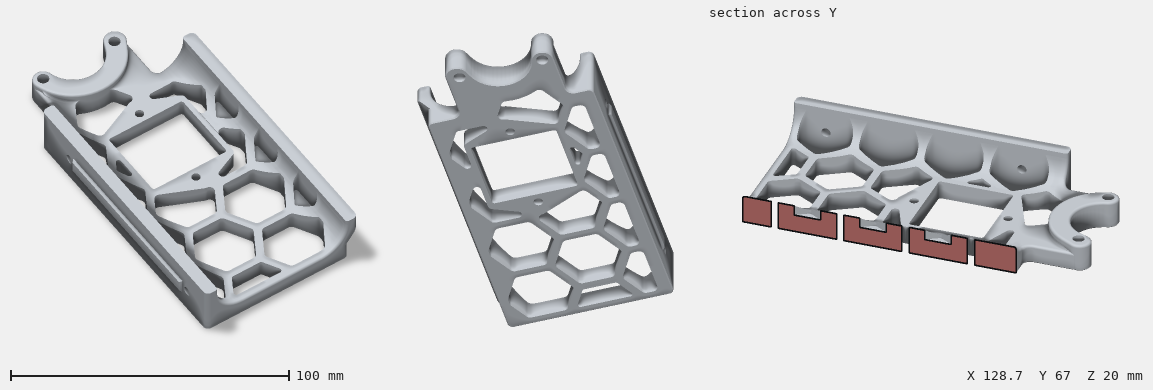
import cadquery as cq
import math

LENGTH = 105.0
WIDTH = 66.0
HEIGHT = 20.0
WALL = 5.0
FLOOR = 7.0
COVE_RADIUS = 11.0
CORNER_RADIUS = 2.0
RIM_RADIUS = 1.0
BOTTOM_CHAMFER = 0.4
HALF_WIDTH = WIDTH / 2
INNER_HALF = HALF_WIDTH - WALL
COVE_START = INNER_HALF - COVE_RADIUS
COVE_CENTER_Z = FLOOR + COVE_RADIUS

SETBACK = 4.0
SLOPE_TOP = 14.4
SLOPE_BOTTOM = 9.2

HOLE_X = -18.65
HOLE_SPACING = 31.0
CRESCENT_Y = -4.15
CRESCENT_TOP = 10.5
CRESCENT_RADIUS = 16.0
LUG_RADIUS = 4.0
LUG_HOLE = 4.4
CRESCENT_X = HOLE_X - math.sqrt(CRESCENT_RADIUS**2 - (HOLE_SPACING / 2) ** 2)
CRESCENT_OUTER = CRESCENT_RADIUS + LUG_RADIUS
CRESCENT_INNER = CRESCENT_RADIUS - LUG_RADIUS
UPPER_HOLE_Y = CRESCENT_Y + HOLE_SPACING / 2
LOWER_HOLE_Y = CRESCENT_Y - HOLE_SPACING / 2
UPPER_LUG_RADIUS = 4.25
UPPER_LUG_SHIFT = 0.75
UPPER_LUG_X = HOLE_X - UPPER_LUG_SHIFT
UPPER_LUG_Y = UPPER_HOLE_Y + UPPER_LUG_SHIFT

ARM_TOP_Y = UPPER_LUG_Y + UPPER_LUG_RADIUS
ARM_BOTTOM_Y = LOWER_HOLE_Y - LUG_RADIUS
ARM_CORNER_RADIUS = 3.0
STEP_RADIUS = 0.8

HEX_PITCH = 25.0
WEB = 3.0
HEX_SIDES = 6
HEX_HALF_ANGLE = 180 / HEX_SIDES
HEX_ACROSS_CORNERS = (HEX_PITCH - WEB) / math.cos(math.radians(HEX_HALF_ANGLE))
ROW_PITCH = HEX_PITCH * math.cos(math.radians(HEX_HALF_ANGLE))
HEX_X = 5.0
HEX_Y = -8.12
HEX_COLUMNS = 5
OPENING_ROWS = (-1, 0, 1)
POCKET_ROW = 2
HEX_FILLET = 2.0
SLIVER_FILLET = 1.5
SMALL_FILLET = 1.0
OPENING_END_X = LENGTH - WEB
OPENING_TOP_Y = 25.4

NOTCH_COLUMN = 1
WINDOW_X = HEX_X + HEX_PITCH * NOTCH_COLUMN
WINDOW_Y = 1.35
WINDOW_LENGTH = 28.6
WINDOW_WIDTH = 32.1
WINDOW_FILLET = 1.0
FRAME_BORDER = 2.0
FRAME_FILLET = 2.0
FRAME_REACH = 24.3
FRAME_HOLE_SPACING = 36.0
FRAME_HOLE = 3.4

TOLERANCE = 1e-3

RIB_X = 55.0
RIB_Z = 10.0
RIB_LENGTH = 69.5
RIB_HEIGHT = 6.0
RIB_DEPTH = 1.0
RIB_CHAMFER = 0.8
WALL_HOLE_SPACING = 75.0
WALL_HOLE = 3.5


def disc(x, y, radius, height):
    return cq.Workplane("XY").center(x, y).circle(radius).extrude(height)


def slab(x0, x1, y0, y1, height):
    return cq.Workplane("XY").box(x1 - x0, y1 - y0, height, centered=False).translate((x0, y0, 0))


def channel(x_start, x_end):
    """Channel section with coved inner corners, extruded along X."""
    cove_mid = COVE_RADIUS * math.sqrt(0.5)
    section = (
        cq.Workplane("YZ", origin=(x_start, 0, 0))
        .moveTo(-HALF_WIDTH, 0)
        .lineTo(HALF_WIDTH, 0)
        .lineTo(HALF_WIDTH, HEIGHT)
        .lineTo(INNER_HALF, HEIGHT)
        .lineTo(INNER_HALF, COVE_CENTER_Z)
        .threePointArc((COVE_START + cove_mid, COVE_CENTER_Z - cove_mid), (COVE_START, FLOOR))
        .lineTo(-COVE_START, FLOOR)
        .threePointArc((-COVE_START - cove_mid, COVE_CENTER_Z - cove_mid), (-INNER_HALF, COVE_CENTER_Z))
        .lineTo(-INNER_HALF, HEIGHT)
        .lineTo(-HALF_WIDTH, HEIGHT)
        .close()
    )
    return section.extrude(x_end - x_start)


def edges_where(shape, test):
    """Edges of the shape whose midpoint passes the test."""
    return shape.newObject([e for e in shape.edges().vals() if test(e.positionAt(0.5))])


def near(a, b):
    return abs(a - b) < TOLERANCE


def on_channel_surface(p):
    if abs(p.y) <= COVE_START:
        return near(p.z, FLOOR)
    if p.z >= COVE_CENTER_Z:
        return near(abs(p.y), INNER_HALF)
    return near(math.hypot(abs(p.y) - COVE_START, p.z - COVE_CENTER_Z), COVE_RADIUS)


def setback():
    """Material outside the +Y wall, below its slope and around a lower block with rounded corners."""
    slope = (SLOPE_TOP - SLOPE_BOTTOM) / SETBACK
    wall_face = HALF_WIDTH - SETBACK
    inner_y = wall_face - CORNER_RADIUS
    inner_z = SLOPE_BOTTOM - slope * CORNER_RADIUS
    below_slope = (
        cq.Workplane("YZ")
        .polyline([(inner_y, 0), (HALF_WIDTH, 0), (HALF_WIDTH, SLOPE_TOP), (inner_y, inner_z)])
        .close()
        .extrude(LENGTH)
    )
    lower_block = slab(0, LENGTH, 0, wall_face, HEIGHT).edges("|Z and >Y").fillet(CORNER_RADIUS)
    return below_slope.cut(lower_block)


def body_with_arm():
    body = channel(0, LENGTH)

    def outer_corner(p):
        at_end = near(p.x, 0) or near(p.x, LENGTH)
        return at_end and near(abs(p.y), HALF_WIDTH) and 0 < p.z < HEIGHT

    body = edges_where(body, outer_corner).fillet(CORNER_RADIUS).cut(setback())
    arm = channel(HOLE_X, CORNER_RADIUS)
    arm = arm.intersect(slab(HOLE_X, CORNER_RADIUS, ARM_BOTTOM_Y, ARM_TOP_Y, HEIGHT))
    body = body.union(arm)

    def arm_corner(p):
        return near(p.x, 0) and (near(p.y, ARM_TOP_Y) or near(p.y, ARM_BOTTOM_Y)) and p.z > TOLERANCE

    body = edges_where(body, arm_corner).fillet(ARM_CORNER_RADIUS)

    def rim(p):
        at_side = near(p.y, ARM_TOP_Y) or near(p.y, ARM_BOTTOM_Y) or near(p.x, LENGTH)
        at_left = -ARM_CORNER_RADIUS - TOLERANCE < p.x < TOLERANCE
        return on_channel_surface(p) and (at_side or at_left)

    return edges_where(body, rim).fillet(RIM_RADIUS)


def polar(center, radius, angle):
    """Point at a distance and direction (in radians) from a center."""
    return (center[0] + radius * math.cos(angle), center[1] + radius * math.sin(angle))


def crescent():
    """Raised crescent: a half ring with a round lug at each end, the upper lug blended by tangent lines."""
    middle = (CRESCENT_X, CRESCENT_Y)
    lower_lug = (HOLE_X, LOWER_HOLE_Y)
    upper_lug = (UPPER_LUG_X, UPPER_LUG_Y)
    lower_angle = -math.asin(HOLE_SPACING / 2 / CRESCENT_RADIUS)
    lug_distance = math.dist(middle, upper_lug)
    lug_angle = math.atan2(UPPER_LUG_Y - CRESCENT_Y, UPPER_LUG_X - CRESCENT_X)
    inner_angle = lug_angle - math.acos((CRESCENT_INNER + UPPER_LUG_RADIUS) / lug_distance)
    outer_angle = lug_angle - math.acos((CRESCENT_OUTER - UPPER_LUG_RADIUS) / lug_distance)
    lug_far_angle = (inner_angle + math.pi + outer_angle) / 2
    solid = (
        cq.Workplane("XY")
        .moveTo(*polar(middle, CRESCENT_INNER, lower_angle))
        .threePointArc(
            polar(middle, CRESCENT_INNER, 0),
            polar(middle, CRESCENT_INNER, inner_angle),
        )
        .lineTo(*polar(upper_lug, UPPER_LUG_RADIUS, inner_angle + math.pi))
        .threePointArc(
            polar(upper_lug, UPPER_LUG_RADIUS, lug_far_angle),
            polar(upper_lug, UPPER_LUG_RADIUS, outer_angle),
        )
        .lineTo(*polar(middle, CRESCENT_OUTER, outer_angle))
        .threePointArc(
            polar(middle, CRESCENT_OUTER, 0),
            polar(middle, CRESCENT_OUTER, lower_angle),
        )
        .threePointArc(
            polar(lower_lug, LUG_RADIUS, lower_angle - math.pi / 2),
            polar(middle, CRESCENT_INNER, lower_angle),
        )
        .close()
        .extrude(CRESCENT_TOP)
    )
    return solid.faces(">Z").edges().fillet(RIM_RADIUS)


def step_blend():
    """Concave fillet between the floor and the outer side of the crescent."""
    reach = CRESCENT_OUTER + STEP_RADIUS
    plate = channel(CRESCENT_X - 2 * reach, CRESCENT_X + 2 * reach)
    plate = plate.union(disc(CRESCENT_X, CRESCENT_Y, CRESCENT_OUTER, CRESCENT_TOP))

    def step(p):
        on_ring = near(math.hypot(p.x - CRESCENT_X, p.y - CRESCENT_Y), CRESCENT_OUTER)
        return on_ring and on_channel_surface(p)

    plate = edges_where(plate, step).fillet(STEP_RADIUS)
    ring = disc(CRESCENT_X, CRESCENT_Y, reach, CRESCENT_TOP).cut(
        disc(CRESCENT_X, CRESCENT_Y, CRESCENT_OUTER, CRESCENT_TOP)
    )
    between_rims = slab(HOLE_X, 0, ARM_BOTTOM_Y + RIM_RADIUS, ARM_TOP_Y - RIM_RADIUS, CRESCENT_TOP)
    return plate.intersect(ring).intersect(between_rims)


def with_crescent(body):
    """Joins the crescent to the arm, blends the step between them and chamfers the bottom edges."""
    inside_ring = disc(CRESCENT_X, CRESCENT_Y, CRESCENT_RADIUS, HEIGHT)
    joined = body.cut(inside_ring).union(crescent()).faces("<Z").edges().chamfer(BOTTOM_CHAMFER)
    return joined.union(step_blend())


def frame_outline():
    """Six-sided frame around the window, reaching out to the screw holes."""
    half_length = WINDOW_LENGTH / 2 + FRAME_BORDER
    half_width = WINDOW_WIDTH / 2 + FRAME_BORDER
    corners = [
        (FRAME_REACH, 0),
        (half_length, half_width),
        (-half_length, half_width),
        (-FRAME_REACH, 0),
        (-half_length, -half_width),
        (half_length, -half_width),
    ]
    return cq.Workplane("XY").center(WINDOW_X, WINDOW_Y).polyline(corners).close().extrude(HEIGHT)


def frame_clearance():
    """Space above the frame, so that its top stays level with the floor where it meets the cove."""
    return frame_outline().edges("|Z").fillet(FRAME_FILLET).translate((0, 0, FLOOR))


def hex_prism(column, row):
    x = HEX_X + HEX_PITCH * (column + (row % 2) / 2)
    y = HEX_Y + ROW_PITCH * row
    prism = cq.Workplane("XY").polygon(HEX_SIDES, HEX_ACROSS_CORNERS).extrude(HEIGHT)
    return prism.rotate((0, 0, 0), (0, 0, 1), HEX_HALF_ANGLE).translate((x, y, 0))


def rounded(cell, radius):
    """Prism with its convex and concave corners rounded by offsetting its outline in, out and back."""
    outline = cq.Workplane(cell).faces("<Z").wires()
    outline = outline.toPending().offset2D(-radius)
    outline = outline.offset2D(radius + FRAME_FILLET)
    outline = outline.offset2D(-FRAME_FILLET)
    return cq.Workplane("XY").add(outline.vals()).toPending().extrude(HEIGHT)


def cell_fillet(column, row):
    """Corner radius of an opening, smaller where little of its hexagon is left."""
    if row == 0 and column in (NOTCH_COLUMN, HEX_COLUMNS - 1):
        return SMALL_FILLET
    if row == 1 and column in (NOTCH_COLUMN - 1, NOTCH_COLUMN):
        return SLIVER_FILLET
    return HEX_FILLET


def floor_openings():
    """Hexagons of three rows, trimmed to the floor, the crescent and the frame."""
    region = slab(CRESCENT_X, OPENING_END_X, -INNER_HALF, OPENING_TOP_Y, HEIGHT)
    region = region.cut(disc(CRESCENT_X, CRESCENT_Y, CRESCENT_OUTER, HEIGHT)).cut(frame_outline())
    cells = []
    for row in OPENING_ROWS:
        for column in range(HEX_COLUMNS):
            for cell in hex_prism(column, row).intersect(region).solids().vals():
                cells.append(rounded(cell, cell_fillet(column, row)))
    return cells


def wall_pockets():
    """Hexagons of the row at the +Y wall, sunk only to the floor level."""
    region = slab(0, LENGTH, 0, INNER_HALF, HEIGHT)
    cells = []
    for column in range(1, HEX_COLUMNS - 1):
        cell = hex_prism(column, POCKET_ROW).intersect(region)
        cells.append(rounded(cell.val(), SMALL_FILLET).translate((0, 0, FLOOR)))
    return cells


def window():
    opening = cq.Workplane("XY").center(WINDOW_X, WINDOW_Y).rect(WINDOW_LENGTH, WINDOW_WIDTH)
    return opening.extrude(HEIGHT).edges("|Z").fillet(WINDOW_FILLET)


def screw_holes():
    holes = [disc(HOLE_X, y, LUG_HOLE / 2, HEIGHT) for y in (UPPER_HOLE_Y, LOWER_HOLE_Y)]
    for side in (-1, 1):
        holes.append(disc(WINDOW_X + side * FRAME_HOLE_SPACING / 2, WINDOW_Y, FRAME_HOLE / 2, HEIGHT))
        x = RIB_X + side * WALL_HOLE_SPACING / 2
        wall_hole = cq.Workplane("XZ", origin=(x, -HALF_WIDTH, RIB_Z)).circle(WALL_HOLE / 2)
        holes.append(wall_hole.extrude(-WALL))
    return holes


def rib():
    bar = cq.Workplane("XY").box(RIB_LENGTH, RIB_DEPTH, RIB_HEIGHT)
    bar = bar.faces("<Y").edges().chamfer(RIB_CHAMFER)
    return bar.translate((RIB_X, -HALF_WIDTH - RIB_DEPTH / 2, RIB_Z))


result = with_crescent(body_with_arm()).union(rib())
for cutter in floor_openings() + wall_pockets() + [window(), frame_clearance()] + screw_holes():
    result = result.cut(cutter)